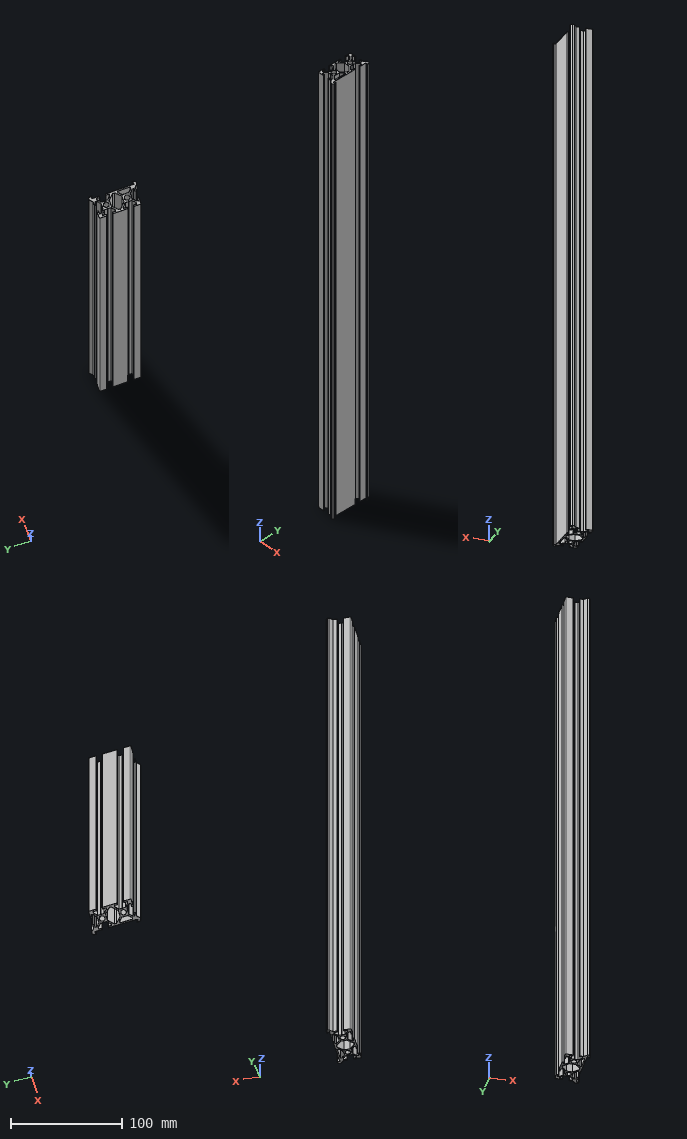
import cadquery as cq
import math

length = 500.0
cell = 20.0
half_cell = cell / 2
overall_x = 22.5
overall_y = 46.0

slot_opening = 6.0
slot_cavity_width = 12.0
lip_thickness = 1.5
core_side = 8.0
web_thickness = 1.5
bore_diameter = 5.0
groove_width = 0.5
groove_depth = 0.5

corner_radius = 0.75

side_wall = 2.0

hook_reach_x = overall_x - cell
hook_reach_y = (overall_y - 2 * cell) / 2
hook_back_run = 3.0
hook_front_chamfer = 1.5
hook_crown_width = 1.5
hook_tip_thickness = 0.6
hook_tip_overlap = 1.0

web_offset = web_thickness / math.sqrt(2)
core_depth = half_cell - core_side / 2


def flank(depth):
    """Distance from the slot axis to the web flank at a depth below the face."""
    return half_cell - depth - web_offset


def extrude(outline):
    """Close an outline and extrude it over the full profile length."""
    return outline.close().extrude(length)


def slot(center_y, face_angle, is_open=True):
    """T-slot cutter for the cell face whose outward normal is at face_angle."""
    half_cavity = slot_cavity_width / 2
    shoulder_depth = flank(half_cavity)
    upper = [
        (half_cell - lip_thickness, half_cavity),
        (half_cell - shoulder_depth, half_cavity),
        (half_cell - core_depth, flank(core_depth)),
    ]
    groove_bottom = []
    if is_open:
        upper.append((half_cell - core_depth, groove_width / 2))
        groove_bottom.append((half_cell - core_depth - groove_depth, 0))
    lower = [(x, -y) for x, y in reversed(upper)]
    cutter = extrude(cq.Workplane("XY").polyline(upper + groove_bottom + lower))
    if is_open:
        mouth = cq.Workplane("XY").box(core_depth, slot_opening, length, centered=(False, True, False))
        cutter = cutter.union(mouth.translate((half_cell - core_depth, 0, 0)))
    return cutter.rotate((0, 0, 0), (0, 0, 1), face_angle).translate((0, center_y, 0))


def middle_chamber():
    """Hexagonal chamber bounded by the side walls, the webs and the two cores."""
    wall_x = half_cell - side_wall
    right = [
        (flank(core_depth), -core_depth),
        (wall_x, -flank(wall_x)),
        (wall_x, flank(wall_x)),
        (flank(core_depth), core_depth),
    ]
    left = [(-x, y) for x, y in reversed(right)]
    return extrude(cq.Workplane("XY").polyline(right + left))


def hook():
    """Curled lip on the +X, +Y corner, bent over and pointing back toward -Y."""
    outer_x = half_cell + hook_reach_x
    crown_y = cell + hook_reach_y
    crown_end_x = outer_x - hook_front_chamfer
    crown_start_x = crown_end_x - hook_crown_width
    tip_inner_x = outer_x - hook_tip_thickness
    tip_y = cell - hook_tip_overlap
    outline = (
        cq.Workplane("XY")
        .moveTo(crown_start_x - hook_back_run, tip_y)
        .lineTo(crown_start_x - hook_back_run, cell)
        .lineTo(crown_start_x, crown_y)
        .lineTo(crown_end_x, crown_y)
        .lineTo(outer_x, crown_y - hook_front_chamfer)
        .lineTo(outer_x, tip_y)
        .lineTo(tip_inner_x, tip_y)
        .lineTo(tip_inner_x, cell)
        .lineTo(half_cell, cell)
        .lineTo(half_cell, tip_y)
    )
    return extrude(outline)


upper_y = half_cell
lower_y = -half_cell

body = cq.Workplane("XY").box(cell, 2 * cell, length, centered=(True, True, False))
body = body.edges("|Z and <X").fillet(corner_radius)
body = body.cut(middle_chamber())
for center_y, end_angle in ((upper_y, 90), (lower_y, -90)):
    bore = cq.Workplane("XY").center(0, center_y).circle(bore_diameter / 2).extrude(length)
    body = body.cut(bore)
    body = body.cut(slot(center_y, end_angle))
    body = body.cut(slot(center_y, 180))
    body = body.cut(slot(center_y, 0, is_open=center_y > 0))

corner_hook = hook()
result = body.union(corner_hook).union(corner_hook.mirror("XZ"))